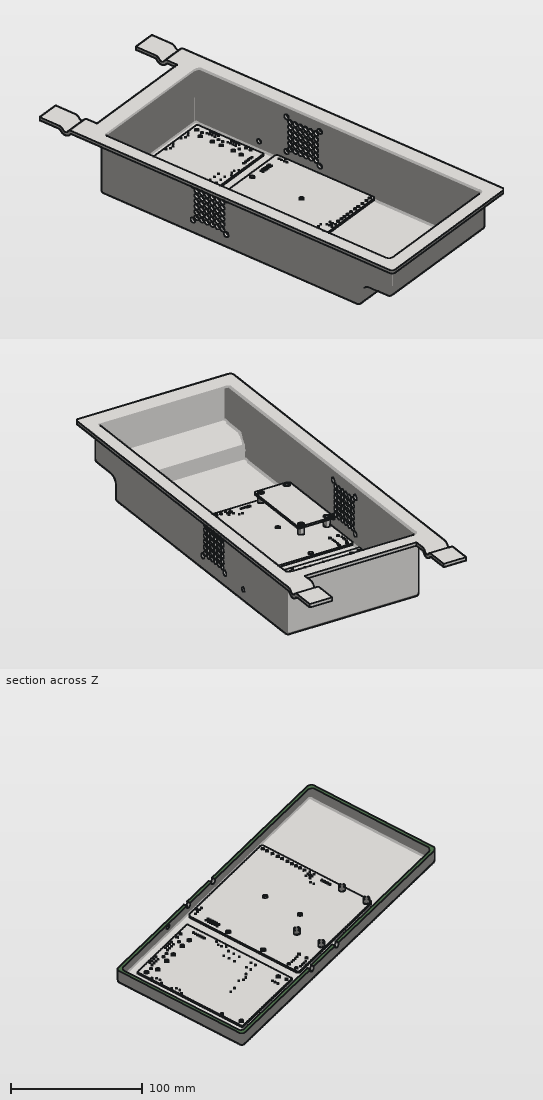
import cadquery as cq
import math

LENGTH = 339.8
WIDTH = 140.0
HEIGHT = 55.0
SHEET = 3.0
EDGE_RADIUS = 3.0
RIM_LEFT = 39.8
RIM_WIDTH = 10.2
TAB_WIDTH = 20.0
RIM_UNDER_RADIUS = 2.7
MOUTH_RADIUS = 2.95

TUB_LEFT = RIM_LEFT + RIM_WIDTH
TUB_RIGHT = LENGTH - RIM_WIDTH
TUB_WIDTH = WIDTH - 2 * RIM_WIDTH
STEP_X = 299.7
LEDGE_DEPTH = 35.0
STEP_INNER_RADIUS = 13.0
STEP_OUTER_RADIUS = STEP_INNER_RADIUS - SHEET

BEND_LEFT = 18.7
BEND_WIDTH = 12.2
BEND_DEPTH = 3.5
BEND_CREST_SHARE = 2 / 3

GRILLE_X = 155.5
GRILLE_Z = -26.0
GRILLE_COUNT = 6
GRILLE_PITCH = 5.0
GRILLE_HOLE = 4.0
FAN_PITCH = 32.0
FAN_HOLE = 4.5

CABLE_X = 113.0
CABLE_Z = -44.0
CABLE_HOLE = 3.7

BOARD_THICKNESS = 1.6
BOARD_TOP = -45.2
RADIO_TOP = -37.0
BOARD_RADIUS = 2.0

POWER_LEFT, POWER_RIGHT = 60.8, 125.0
POWER_FRONT, POWER_REAR = -51.5, 47.5

MAIN_LEFT, MAIN_RIGHT = 133.2, 228.5
MAIN_FRONT, MAIN_REAR = -51.5, 52.5

RADIO_LENGTH = 64.5
RADIO_WIDTH = 31.5
RADIO_FRONT = -52.5
RADIO_HOLES_X = 58.0
RADIO_HOLES_Y = 23.0
RADIO_X = MAIN_RIGHT - RADIO_LENGTH / 2
RADIO_Y = RADIO_FRONT + RADIO_WIDTH / 2
SPACER_OUTER = 5.0
SPACER_BORE = 3.2

MOUNT_HOLE = 3.2
MAIN_MOUNT_HOLE = 3.7
LUG_HOLE = 2.0
SHIELD_HOLE = 1.7
HEADER_HOLE = 1.3
PIN_HOLE = 1.0
VIA_HOLE = 0.45
PIN_PITCH = 2.55
HEADER_PITCH = 2.0
HEADER_COUNT = 6
HEADER_Y = 33.3

POWER_MOUNTS = [(65.0, 41.8), (112.0, 36.0), (65.0, -47.5), (120.3, -41.8)]
POWER_LUGS = [(109.5, 45.5), (62.5, -31.3), (121.5, -48.5)]
POWER_PEG = (114.0, 45.5)
NETWORK_SOCKETS_X = [78.0, 98.2]
NETWORK_PEGS = (36.7, 11.5)
NETWORK_SHIELDS = (41.5, 16.0)
NETWORK_PINS = 4
NETWORK_FRONT_ROW_Y = 43.0
NETWORK_REAR_ROW_Y = 46.0
USB_SOCKETS = [(64.2, 30.2, -1), (64.2, 11.5, -1), (121.3, 14.0, 1)]
USB_PEG_SPACING = 3.0
USB_LUG_SPACING = 9.2
USB_LUG_OFFSET = 2.0
POWER_HEADER_X = 120.5
SENSOR_PINS = (114.2, -43.5)
SENSOR_PIN_COUNT = 3
RELAY_X = 117.2
RELAY_SPACING = 6.0
RELAY_ROWS_Y = [5.0, 0, -5.0, -16.3, -20.5]
LOOSE_PINS = [(85.5, -22.5), (90.7, -22.5), (99.0, -20.5), (102.0, -22.5), (105.0, -22.5), (108.0, -20.5)]

MAIN_MOUNTS = (160.7, 1.0)
MAIN_MOUNTS_X = 47.5
MAIN_MOUNTS_Y = 33.0
MAIN_HEADER_X = 138.3
FAN_PINS = (142.0, 49.3)
FAN_PIN_COUNT = 4
FAN_KEY = (142.7, 51.5)
TERMINAL_X = 225.3
TERMINALS_Y = [49.5, 45.5, 40.5, 35.5, 31.3, 26.0, 22.0, 18.0, 14.3, 10.2]
DOUBLE_USB_X = 142.7
DOUBLE_USB_LUGS_Y = -44.0
DOUBLE_USB_LUG_SPACING = (13.3, 7.0)
DOUBLE_USB_PINS_Y = -45.0
DOUBLE_USB_PIN_OFFSETS = [-3.5, -1.0, 1.0, 3.5]
DOUBLE_USB_ROW_SPACING = 8.0
SWITCH = (223.5, 3.7)
SWITCH_PIN_COLUMNS = 3
SWITCH_ROW_SPACING = 4.0
PIN_PAIR = (217.5, -2.7)
PIN_PAIR_SPACING = 3.0
VIA_FIELD = (224.3, -11.0)
VIA_COLUMNS, VIA_COLUMN_PITCH = 2, 1.0
VIA_ROWS, VIA_ROW_PITCH = 7, 1.5


def row(count, pitch):
    """Evenly spaced offsets centred on zero."""
    return [(i - (count - 1) / 2) * pitch for i in range(count)]


def grid(x, y, x_offsets, y_offsets):
    """Points of a grid around (x, y)."""
    return [(x + dx, y + dy) for dx in x_offsets for dy in y_offsets]


def tub_block(inset, step_radius):
    """Solid block with a stepped underside, its faces moved inward by the inset."""
    left = TUB_LEFT + inset
    right = TUB_RIGHT - inset
    step = STEP_X - inset
    floor = -HEIGHT + inset
    ledge = -LEDGE_DEPTH + inset
    width = TUB_WIDTH - 2 * inset
    block = (
        cq.Workplane("XZ")
        .polyline([(left, 0), (left, floor), (step, floor), (step, ledge), (right, ledge), (right, 0)])
        .close()
        .extrude(width / 2, both=True)
    )
    top_edges = cq.StringSyntaxSelector(">Z")
    step_edge = cq.selectors.NearestToPointSelector((step, 0, ledge))
    outer_edges = cq.selectors.InverseSelector(cq.selectors.SumSelector(top_edges, step_edge))
    block = block.edges(outer_edges).fillet(EDGE_RADIUS)
    return block.edges(step_edge).fillet(step_radius)


def rim_plate():
    plate = (
        cq.Workplane("XY")
        .box(LENGTH - RIM_LEFT, WIDTH, SHEET, centered=(False, True, False))
        .translate((RIM_LEFT, 0, -SHEET))
    )
    return plate.edges("|Z and >X").fillet(EDGE_RADIUS)


def bent_tab():
    """Strip along X with a trough formed by four tangent arcs, starting at Y = 0."""
    half = BEND_WIDTH / 2
    angle = 2 * math.atan(BEND_DEPTH / half)
    radius_sum = half / math.sin(angle)
    crest_radius = radius_sum * BEND_CREST_SHARE
    trough_radius = radius_sum - crest_radius
    middle = BEND_LEFT + half
    bend_right = BEND_LEFT + BEND_WIDTH

    def arc_point(center_x, center_z, radius, turn):
        return (center_x + radius * math.sin(turn), center_z + radius * math.cos(turn))

    def crest(center_x, drop, turn):
        return arc_point(center_x, -crest_radius, crest_radius - drop, turn)

    def trough(drop, turn):
        return arc_point(middle, trough_radius - BEND_DEPTH, -(trough_radius + drop), turn)

    profile = (
        cq.Workplane("XZ")
        .moveTo(0, 0)
        .lineTo(BEND_LEFT, 0)
        .threePointArc(crest(BEND_LEFT, 0, angle / 2), crest(BEND_LEFT, 0, angle))
        .threePointArc(trough(0, 0), trough(0, -angle))
        .threePointArc(crest(bend_right, 0, -angle / 2), (bend_right, 0))
        .lineTo(RIM_LEFT, 0)
        .lineTo(RIM_LEFT, -SHEET)
        .lineTo(bend_right, -SHEET)
        .threePointArc(crest(bend_right, SHEET, -angle / 2), crest(bend_right, SHEET, -angle))
        .threePointArc(trough(SHEET, 0), trough(SHEET, angle))
        .threePointArc(crest(BEND_LEFT, SHEET, angle / 2), (BEND_LEFT, -SHEET))
        .lineTo(0, -SHEET)
        .close()
    )
    return profile.extrude(-TAB_WIDTH)


def wall_holes(points, diameter, y_start, length):
    """Cylinders along +Y at (X, Z) points."""
    return (
        cq.Workplane("XZ", origin=(0, y_start, 0))
        .pushPoints(points)
        .circle(diameter / 2)
        .extrude(-length)
    )


def tub_edges_near(z):
    """Selects the edges at height z that lie within the rim's inner outline."""
    margin = SHEET / 2
    return cq.selectors.BoxSelector(
        (TUB_LEFT - margin, -TUB_WIDTH / 2 - margin, z - margin),
        (TUB_RIGHT + margin, TUB_WIDTH / 2 + margin, z + margin),
    )


def make_tray():
    tray = rim_plate().union(tub_block(0, STEP_OUTER_RADIUS))
    tray = tray.edges(tub_edges_near(-SHEET)).fillet(RIM_UNDER_RADIUS)
    tray = tray.cut(tub_block(SHEET, STEP_INNER_RADIUS))
    tray = tray.edges(tub_edges_near(0)).fillet(MOUTH_RADIUS)

    for tab_y in (-WIDTH / 2, WIDTH / 2 - TAB_WIDTH):
        tray = tray.union(bent_tab().translate((0, tab_y, 0)))

    vents = grid(GRILLE_X, GRILLE_Z, row(GRILLE_COUNT, GRILLE_PITCH), row(GRILLE_COUNT, GRILLE_PITCH))
    fan_screws = grid(GRILLE_X, GRILLE_Z, row(2, FAN_PITCH), row(2, FAN_PITCH))
    tray = tray.cut(wall_holes(vents, GRILLE_HOLE, -WIDTH / 2, WIDTH))
    tray = tray.cut(wall_holes(fan_screws, FAN_HOLE, -WIDTH / 2, WIDTH))
    return tray.cut(wall_holes([(CABLE_X, CABLE_Z)], CABLE_HOLE, 0, WIDTH / 2))


def board(left, right, front, rear, top):
    return (
        cq.Workplane("XY", origin=((left + right) / 2, (front + rear) / 2, top - BOARD_THICKNESS))
        .rect(right - left, rear - front)
        .extrude(BOARD_THICKNESS)
    )


def drill(plate, points, diameter):
    """Cut round holes through the full thickness of a board."""
    bottom = plate.val().BoundingBox().zmin
    holes = (
        cq.Workplane("XY", origin=(0, 0, bottom))
        .pushPoints(points)
        .circle(diameter / 2)
        .extrude(BOARD_THICKNESS)
    )
    return plate.cut(holes)


def drill_network_socket(plate, x):
    """Footprint with two pegs, two shield lugs and two staggered rows of pins."""
    peg_y, peg_spacing = NETWORK_PEGS
    shield_y, shield_spacing = NETWORK_SHIELDS
    plate = drill(plate, grid(x, peg_y, row(2, peg_spacing), [0]), MOUNT_HOLE)
    plate = drill(plate, grid(x, shield_y, row(2, shield_spacing), [0]), SHIELD_HOLE)
    stagger = PIN_PITCH / 4
    pins = row(NETWORK_PINS, PIN_PITCH)
    plate = drill(plate, grid(x - stagger, NETWORK_FRONT_ROW_Y, pins, [0]), PIN_HOLE)
    return drill(plate, grid(x + stagger, NETWORK_REAR_ROW_Y, pins, [0]), PIN_HOLE)


def drill_usb_socket(plate, x, y, outward):
    """Footprint with two inner pegs and two lugs nearer the board's edge."""
    plate = drill(plate, grid(x, y, [0], row(2, USB_PEG_SPACING)), PIN_HOLE)
    return drill(plate, grid(x + outward * USB_LUG_OFFSET, y, [0], row(2, USB_LUG_SPACING)), PIN_HOLE)


def make_power_board():
    plate = board(POWER_LEFT, POWER_RIGHT, POWER_FRONT, POWER_REAR, BOARD_TOP)
    plate = drill(plate, POWER_MOUNTS, MOUNT_HOLE)
    plate = drill(plate, POWER_LUGS, LUG_HOLE)
    plate = drill(plate, [POWER_PEG], SHIELD_HOLE)
    for socket_x in NETWORK_SOCKETS_X:
        plate = drill_network_socket(plate, socket_x)
    for socket_x, socket_y, outward in USB_SOCKETS:
        plate = drill_usb_socket(plate, socket_x, socket_y, outward)
    header = grid(POWER_HEADER_X, HEADER_Y, [0], row(HEADER_COUNT, HEADER_PITCH))
    plate = drill(plate, header, HEADER_HOLE)
    plate = drill(plate, grid(*SENSOR_PINS, [0], row(SENSOR_PIN_COUNT, PIN_PITCH)), PIN_HOLE)
    plate = drill(plate, grid(RELAY_X, 0, row(2, RELAY_SPACING), RELAY_ROWS_Y), PIN_HOLE)
    return drill(plate, LOOSE_PINS, PIN_HOLE)


def drill_double_usb_socket(plate):
    """Footprint with four corner lugs and two rows of pins."""
    lug_x, lug_y = DOUBLE_USB_LUG_SPACING
    lugs = grid(DOUBLE_USB_X, DOUBLE_USB_LUGS_Y, row(2, lug_x), row(2, lug_y))
    pin_rows = row(2, DOUBLE_USB_ROW_SPACING)
    pins = grid(DOUBLE_USB_X, DOUBLE_USB_PINS_Y, DOUBLE_USB_PIN_OFFSETS, pin_rows)
    return drill(drill(plate, lugs, LUG_HOLE), pins, PIN_HOLE)


def drill_switch(plate):
    """Footprint with a central peg between two rows of pins."""
    pins = grid(*SWITCH, row(SWITCH_PIN_COLUMNS, PIN_PITCH), row(2, SWITCH_ROW_SPACING))
    return drill(drill(plate, [SWITCH], SHIELD_HOLE), pins, PIN_HOLE)


def make_main_board():
    plate = board(MAIN_LEFT, MAIN_RIGHT, MAIN_FRONT, MAIN_REAR, BOARD_TOP)
    plate = plate.edges("|Z").fillet(BOARD_RADIUS)
    mounts = grid(*MAIN_MOUNTS, row(2, MAIN_MOUNTS_X), row(2, MAIN_MOUNTS_Y))
    plate = drill(plate, mounts, MAIN_MOUNT_HOLE)
    header = grid(MAIN_HEADER_X, HEADER_Y, row(2, HEADER_PITCH), row(HEADER_COUNT, HEADER_PITCH))
    plate = drill(plate, header, HEADER_HOLE)
    plate = drill(plate, grid(*FAN_PINS, row(FAN_PIN_COUNT, PIN_PITCH), [0]) + [FAN_KEY], PIN_HOLE)
    plate = drill(plate, grid(TERMINAL_X, 0, [0], TERMINALS_Y), LUG_HOLE)
    plate = drill_double_usb_socket(plate)
    plate = drill_switch(plate)
    plate = drill(plate, grid(*PIN_PAIR, [0], row(2, PIN_PAIR_SPACING)), PIN_HOLE)
    vias = grid(*VIA_FIELD, row(VIA_COLUMNS, VIA_COLUMN_PITCH), row(VIA_ROWS, VIA_ROW_PITCH))
    return drill(plate, vias, VIA_HOLE)


def radio_corners():
    return grid(RADIO_X, RADIO_Y, row(2, RADIO_HOLES_X), row(2, RADIO_HOLES_Y))


def make_radio_board():
    left = MAIN_RIGHT - RADIO_LENGTH
    plate = board(left, MAIN_RIGHT, RADIO_FRONT, RADIO_FRONT + RADIO_WIDTH, RADIO_TOP)
    plate = plate.edges("|Z").fillet(BOARD_RADIUS)
    return drill(plate, radio_corners(), SPACER_OUTER)


def make_spacer(x, y):
    """Tube that stands on the main board and ends flush with the radio board."""
    return (
        cq.Workplane("XY", origin=(x, y, BOARD_TOP))
        .circle(SPACER_OUTER / 2)
        .circle(SPACER_BORE / 2)
        .extrude(RADIO_TOP - BOARD_TOP)
    )


tray = make_tray()
power_board = make_power_board()
main_board = make_main_board()
radio_board = make_radio_board()
spacers = [make_spacer(x, y) for x, y in radio_corners()]

result = cq.Compound.makeCompound(
    [tray.val(), power_board.val(), main_board.val(), radio_board.val()]
    + [spacer.val() for spacer in spacers]
)